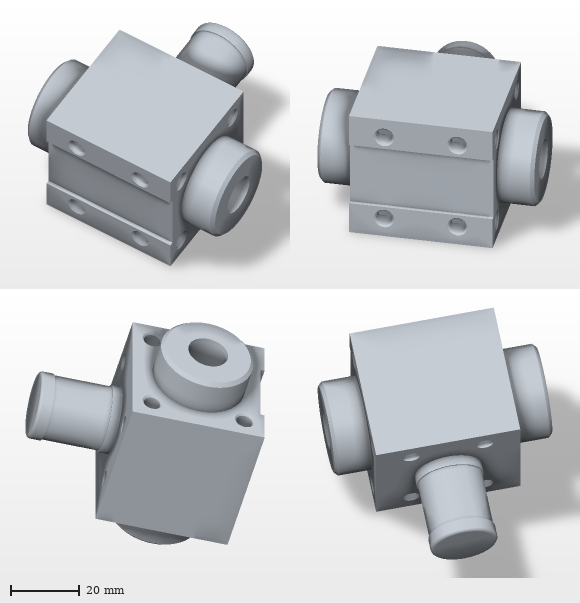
import cadquery as cq

block_length = 43.0
block_side = 40.0
overall_length = 65.0
overall_depth = 64.5

boss_diameter = 28.0
boss_chamfer = 1.1
bore_diameter = 12.0

spigot_diameter = 19.2
collar_diameter = 20.0
base_collar_length = 3.0
end_collar_length = 4.0
end_fillet = 1.0

channel_width = 20.0
channel_depth = 1.25

hole_diameter = 4.95
countersink_diameter = 6.0
hole_offset = 14.0
front_hole_offset_x = 11.0

half_side = block_side / 2
spigot_length = overall_depth - block_side


def along_y(diameter, start, length):
    """Cylinder on the Y axis, growing toward +Y from start."""
    plane = cq.Workplane("XZ", origin=(0, start, 0))
    return plane.circle(diameter / 2).extrude(-length)


def drill_tool(plane, face_distance, points):
    """Through holes along the plane normal, countersunk where they start."""
    sink_depth = (countersink_diameter - hole_diameter) / 2
    start = cq.Workplane(plane).workplane(offset=face_distance).pushPoints(points)
    holes = start.circle(hole_diameter / 2).extrude(-2 * face_distance)
    sinks = start.eachpoint(
        cq.Solid.makeCone(
            countersink_diameter / 2, hole_diameter / 2, sink_depth, dir=cq.Vector(0, 0, -1)
        ),
        useLocalCoordinates=True,
    )
    return holes.union(sinks)


block = cq.Workplane("XY").box(block_length, block_side, block_side)
channel = cq.Workplane("XY").box(block_length, 2 * channel_depth, channel_width)
block = block.cut(channel.translate((0, -half_side, 0)))

bosses = (
    cq.Workplane("YZ")
    .circle(boss_diameter / 2)
    .extrude(overall_length / 2, both=True)
    .faces("<X or >X")
    .chamfer(boss_chamfer)
)

end_collar = (
    along_y(collar_diameter, half_side + spigot_length - end_collar_length, end_collar_length)
    .faces(">Y")
    .edges()
    .fillet(end_fillet)
)
base_collar = along_y(collar_diameter, half_side, base_collar_length)
spigot = along_y(spigot_diameter, half_side, spigot_length - end_collar_length)
spigot = spigot.union(base_collar).union(end_collar)

bore = cq.Workplane("YZ").circle(bore_diameter / 2).extrude(overall_length, both=True)

side_holes = [(u * hole_offset, v * hole_offset) for u in (-1, 1) for v in (-1, 1)]
front_holes = [(u * front_hole_offset_x, v * hole_offset) for u in (-1, 1) for v in (-1, 1)]

side_drills = drill_tool("YZ", block_length / 2, side_holes)
side_drills = side_drills.union(side_drills.mirror("YZ"))
front_drills = drill_tool("XZ", half_side, front_holes)

body = block.union(bosses).union(spigot)
result = body.cut(bore).cut(side_drills).cut(front_drills)